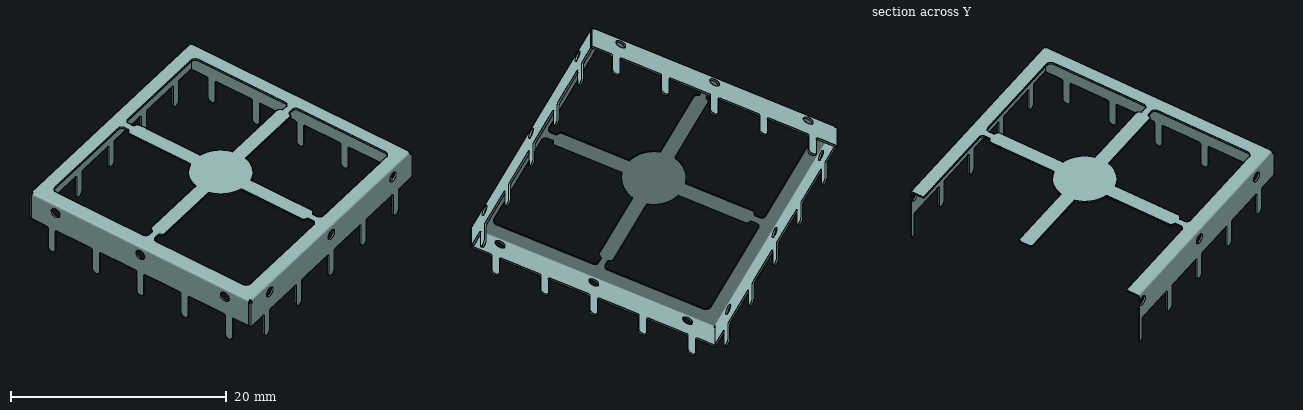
import cadquery as cq

SIDE = 25.4
HEIGHT = 6.1
SHEET = 0.2
BEND_RADIUS = 0.25

WALL_HEIGHT = 3.2
CORNER_DROP = BEND_RADIUS
CORNER_GAP = 0.05
HOLE_DIAMETER = 1.0
HOLE_DEPTH_BELOW_TOP = 1.0
HOLE_SPACING = 9.7
HOLE_COUNT = 3

LEG_WIDTH = 0.8
LEG_PITCH = 5.08
LEG_COUNT = 5
LEG_ROOT_RADIUS = 0.2

RIM_WIDTH = 1.5
ARM_WIDTH = 1.5
NECK_WIDTH = 0.7
NECK_LENGTH = 0.95
NECK_TAPER = 0.25
OPENING_RADIUS = 0.5
NECK_ROOT_RADIUS = 0.4
PAD_DIAMETER = 6.0

HALF = SIDE / 2
WALL_BOTTOM = HEIGHT - WALL_HEIGHT
OPENING_EDGE = HALF - RIM_WIDTH


def centred_positions(count, pitch):
    """Evenly spaced positions, symmetric about zero."""
    return [(i - (count - 1) / 2) * pitch for i in range(count)]


def make_square_block(side, bottom, top):
    """Square block centred on the Z axis between two heights."""
    return cq.Workplane("XY").workplane(offset=bottom).rect(side, side).extrude(top - bottom)


def make_tray():
    """Open-bottomed square tray of even thickness with bent top edges."""
    outside = make_square_block(SIDE, WALL_BOTTOM, HEIGHT)
    outside = outside.faces(">Z").edges().fillet(BEND_RADIUS)
    inside = make_square_block(SIDE - 2 * SHEET, WALL_BOTTOM, HEIGHT - SHEET)
    inside = inside.faces(">Z").edges().fillet(BEND_RADIUS - SHEET)
    return outside.cut(inside)


def make_corner_relief():
    """Cutter for the +X +Y corner: clears the corner column and slits it from the Y wall."""
    length = SHEET + CORNER_GAP
    return (
        cq.Workplane("XY")
        .rect(length, SHEET)
        .extrude(HEIGHT)
        .translate((HALF - length / 2, HALF - SHEET / 2, 0))
    )


def make_corner_tab(x_sign, y_sign):
    """Flat-topped end of an X wall that covers the end of the neighbouring Y wall."""
    centre = HALF - SHEET / 2
    return (
        cq.Workplane("XY")
        .workplane(offset=WALL_BOTTOM)
        .rect(SHEET, SHEET)
        .extrude(WALL_HEIGHT - CORNER_DROP)
        .translate((x_sign * centre, y_sign * centre, 0))
    )


def make_shell():
    """Tray whose X walls overlap the ends of the Y walls across narrow slits."""
    shell = make_tray()
    relief = make_corner_relief()
    for x_sign in (-1, 1):
        for y_sign in (-1, 1):
            corner = relief
            if x_sign < 0:
                corner = corner.mirror("YZ")
            if y_sign < 0:
                corner = corner.mirror("XZ")
            shell = shell.cut(corner).union(make_corner_tab(x_sign, y_sign))
    return shell


def make_opening():
    """Cutter for the window in the +X +Y quarter, following the arm, its necks and the pad."""
    arm = ARM_WIDTH / 2
    neck = NECK_WIDTH / 2
    neck_end = OPENING_EDGE - NECK_LENGTH
    taper_end = neck_end - NECK_TAPER
    outline = [
        (arm, arm),
        (taper_end, arm),
        (neck_end, neck),
        (OPENING_EDGE, neck),
        (OPENING_EDGE, OPENING_EDGE),
        (neck, OPENING_EDGE),
        (neck, neck_end),
        (arm, taper_end),
    ]
    window = cq.Workplane("XY").workplane(offset=WALL_BOTTOM).polyline(outline).close().extrude(WALL_HEIGHT)
    rim_corners = cq.selectors.BoxSelector(
        (OPENING_EDGE - SHEET, OPENING_EDGE - SHEET, 0),
        (HALF, HALF, HEIGHT),
    )
    neck_x = cq.selectors.BoxSelector((OPENING_EDGE - SHEET, 0, 0), (HALF, ARM_WIDTH, HEIGHT))
    neck_y = cq.selectors.BoxSelector((0, OPENING_EDGE - SHEET, 0), (ARM_WIDTH, HALF, HEIGHT))
    window = window.edges("|Z").edges(rim_corners).fillet(OPENING_RADIUS)
    window = window.edges("|Z").edges(neck_x + neck_y).fillet(NECK_ROOT_RADIUS)
    pad = cq.Workplane("XY").circle(PAD_DIAMETER / 2).extrude(HEIGHT)
    return window.cut(pad)


def make_leg(x):
    """Round-tipped leg on the -Y wall with concave fillets where it meets the wall."""
    half_width = LEG_WIDTH / 2
    root = half_width + LEG_ROOT_RADIUS
    bend = LEG_ROOT_RADIUS * (1 - 0.5**0.5)
    root_z = WALL_BOTTOM - LEG_ROOT_RADIUS
    overlap_z = WALL_BOTTOM + SHEET
    return (
        cq.Workplane("XZ", origin=(x, -HALF + SHEET, 0))
        .moveTo(-root, overlap_z)
        .lineTo(-root, WALL_BOTTOM)
        .threePointArc((-half_width - bend, WALL_BOTTOM - bend), (-half_width, root_z))
        .lineTo(-half_width, half_width)
        .threePointArc((0, 0), (half_width, half_width))
        .lineTo(half_width, root_z)
        .threePointArc((half_width + bend, WALL_BOTTOM - bend), (root, WALL_BOTTOM))
        .lineTo(root, overlap_z)
        .close()
        .extrude(SHEET)
    )


def make_hole_row():
    """Through-drills for the holes of two opposite walls."""
    points = [(x, HEIGHT - HOLE_DEPTH_BELOW_TOP) for x in centred_positions(HOLE_COUNT, HOLE_SPACING)]
    return cq.Workplane("XZ").pushPoints(points).circle(HOLE_DIAMETER / 2).extrude(HALF, both=True)


def turned(body, quarter_turns):
    """The body rotated about Z by a number of quarter turns."""
    return body.rotate((0, 0, 0), (0, 0, 1), 90 * quarter_turns)


result = make_shell()
opening = make_opening()
for side in range(4):
    result = result.cut(turned(opening, side))
    for leg_x in centred_positions(LEG_COUNT, LEG_PITCH):
        result = result.union(turned(make_leg(leg_x), side))

hole_row = make_hole_row()
result = result.cut(hole_row).cut(turned(hole_row, 1))